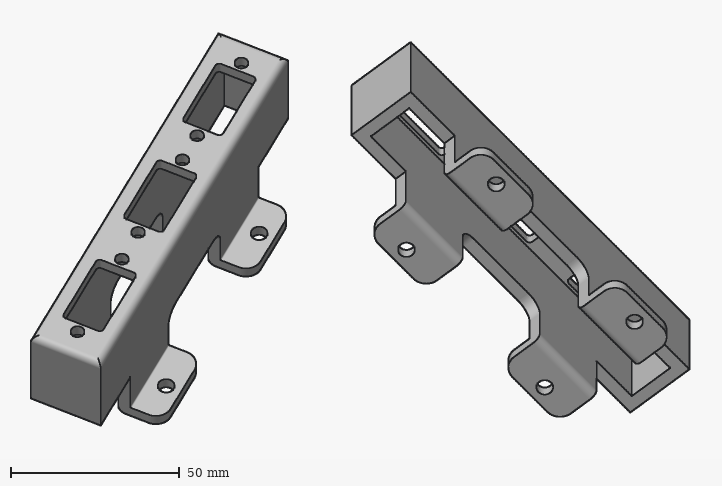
import cadquery as cq

length = 127.0
body_width = 23.1
total_height = 49.0
body_height = 30.0
wall = 4.1
top_edge_radius = 2.2

span = 45.0
foot_inner_y = 17.5
foot_outer_y = 43.4
foot_corner_radius = 5.0
foot_hole_diameter = 5.0
foot_hole_x = 17.5
foot_hole_y = 31.5
bend_outer_radius = 2.5
bend_inner_radius = 0.4
arch_radius = 5.1

opening_width = 13.1
opening_length = 24.1
opening_corner_radius = 1.3
opening_centers_y = (-40.5, 0.5, 40.5)
screw_hole_diameter = 4.1
screw_spacing = 30.0

body_bottom = total_height - body_height
half_body = body_width / 2
foot_length = foot_outer_y - foot_inner_y


def make_housing():
    """Box with rounded top edges, hollowed from below."""
    outer = cq.Workplane("XY", origin=(0, 0, body_bottom)).box(
        body_width, length, body_height, centered=(True, True, False)
    )
    outer = outer.faces(">Z").edges().fillet(top_edge_radius)
    cavity = cq.Workplane("XY", origin=(0, 0, body_bottom)).box(
        body_width - 2 * wall,
        length - 2 * wall,
        body_height - wall,
        centered=(True, True, False),
    )
    return outer.cut(cavity)


def make_foot():
    """Bent foot on the +X, +Y side."""
    inner_x = half_body - wall
    foot = (
        cq.Workplane("XZ", origin=(0, foot_outer_y, 0))
        .moveTo(inner_x, body_bottom)
        .lineTo(half_body, body_bottom)
        .lineTo(half_body, wall + bend_inner_radius)
        .radiusArc((half_body + bend_inner_radius, wall), -bend_inner_radius)
        .lineTo(span / 2, wall)
        .lineTo(span / 2, 0)
        .lineTo(inner_x + bend_outer_radius, 0)
        .radiusArc((inner_x, bend_outer_radius), bend_outer_radius)
        .close()
        .extrude(foot_length)
    )
    foot = foot.faces(">X").edges("|Z").fillet(foot_corner_radius)
    hole = (
        cq.Workplane("XY")
        .center(foot_hole_x, foot_hole_y)
        .circle(foot_hole_diameter / 2)
        .extrude(wall)
    )
    return foot.cut(hole)


def make_arch_fillet():
    """Concave corner between a leg and the lower edge of its side wall."""
    return (
        cq.Workplane("YZ", origin=(half_body - wall, 0, 0))
        .moveTo(foot_inner_y, body_bottom)
        .lineTo(foot_inner_y, body_bottom - arch_radius)
        .radiusArc((foot_inner_y - arch_radius, body_bottom), -arch_radius)
        .close()
        .extrude(wall)
    )


def make_opening_cutter(center_y):
    """Rounded connector window with a screw hole at each end."""
    plane = cq.Workplane("XY", origin=(0, center_y, body_bottom))
    window = plane.rect(opening_width, opening_length).extrude(body_height)
    window = window.edges("|Z").fillet(opening_corner_radius)
    screws = plane.rarray(1.3, screw_spacing, 1, 2).circle(screw_hole_diameter / 2).extrude(body_height)
    return window.union(screws)


quarter = make_foot().union(make_arch_fillet())
pair = quarter.union(quarter.mirror("YZ"))
feet = pair.union(pair.mirror("XZ"))

result = make_housing().union(feet)
for center_y in opening_centers_y:
    result = result.cut(make_opening_cutter(center_y))